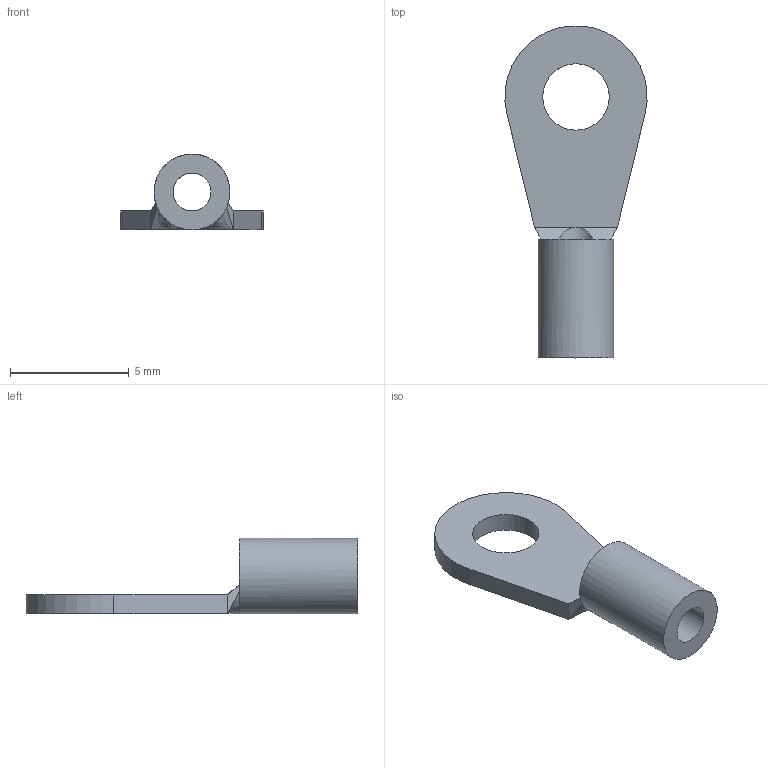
import cadquery as cq
import math


eye_radius = 3.0
eye_hole_diameter = 2.8
plate_thickness = 0.8
plate_end_half_width = 1.74
eye_to_plate_end = 5.5

barrel_radius = 1.6
barrel_wall = 0.8
barrel_length = 5.0
bore_radius = barrel_radius - barrel_wall

neck_length = 0.5
neck_top_height = 1.24
neck_half_width = 1.46

plate_end_y = -eye_to_plate_end
barrel_inner_y = plate_end_y - neck_length
barrel_outer_y = barrel_inner_y - barrel_length


def make_plate():
    """Round eye with two straight sides tangent to it, tapering to the neck."""
    corner_distance = math.hypot(plate_end_half_width, eye_to_plate_end)
    corner_angle = math.atan2(plate_end_y, plate_end_half_width)
    tangent_angle = corner_angle + math.acos(eye_radius / corner_distance)
    tangent_x = eye_radius * math.cos(tangent_angle)
    tangent_y = eye_radius * math.sin(tangent_angle)
    return (
        cq.Workplane("XY")
        .moveTo(-plate_end_half_width, plate_end_y)
        .lineTo(plate_end_half_width, plate_end_y)
        .lineTo(tangent_x, tangent_y)
        .threePointArc((0, eye_radius), (-tangent_x, tangent_y))
        .close()
        .extrude(plate_thickness)
    )


def make_eye_hole():
    return cq.Workplane("XY").circle(eye_hole_diameter / 2).extrude(plate_thickness)


def make_neck():
    """Ruled blend from the rectangular plate end to the underside of the barrel."""
    side_foot = barrel_radius - math.sqrt(barrel_radius**2 - neck_half_width**2)
    return (
        cq.Workplane("XZ", origin=(0, plate_end_y, 0))
        .moveTo(-plate_end_half_width, 0)
        .lineTo(plate_end_half_width, 0)
        .lineTo(plate_end_half_width, plate_thickness)
        .lineTo(-plate_end_half_width, plate_thickness)
        .close()
        .workplane(offset=neck_length)
        .moveTo(-neck_half_width, side_foot)
        .threePointArc((0, 0), (neck_half_width, side_foot))
        .lineTo(neck_half_width, neck_top_height)
        .lineTo(-neck_half_width, neck_top_height)
        .close()
        .loft(ruled=True)
    )


def make_barrel_cylinder(radius, length):
    """Cylinder on the barrel axis, from the open barrel end toward the eye."""
    return (
        cq.Workplane("XZ", origin=(0, barrel_outer_y, barrel_radius))
        .circle(radius)
        .extrude(-length)
    )


plate = make_plate().cut(make_eye_hole())
barrel = make_barrel_cylinder(barrel_radius, barrel_length)

bore = make_barrel_cylinder(bore_radius, barrel_length + neck_length)

result = plate.union(make_neck()).union(barrel).cut(bore)